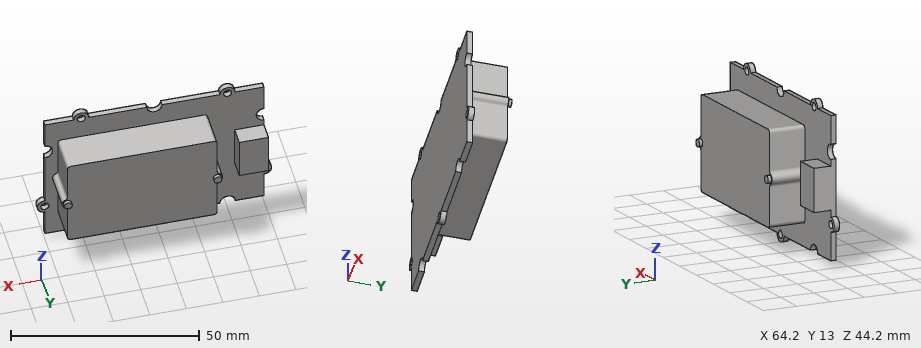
import cadquery as cq

overall_length = 64.2
overall_height = 44.2
ear_diameter = 4.2
board_length = overall_length - ear_diameter
board_height = overall_height - ear_diameter
board_thickness = 1.6
ear_hole_diameter = 2.2
hole_pitch = 20.0

overall_depth = 13.0
block_depth = 10.45
block_height = 27.0
block_left = -14.6
block_right = 26.45
block_corner_radius = 1.0
boss_diameter = 2.95
boss_fillet_radius = 1.0
pin_diameter = 2.2

connector_length = 8.0
connector_height = 12.2
connector_depth = 5.0

right_edge = board_length / 2
top_edge = board_height / 2
side_offset = hole_pitch / 2
ear_centers = [
    (-hole_pitch, top_edge),
    (hole_pitch, top_edge),
    (-right_edge, -side_offset),
    (right_edge, -side_offset),
    (0, -top_edge),
]
notch_centers = [(x, -z) for x, z in ear_centers]


def plane_at(y):
    """XZ workplane at depth y, with positive extrusion toward +Y and local axes (X, -Z)."""
    return cq.Workplane(cq.Plane(origin=(0, y, 0), xDir=(1, 0, 0), normal=(0, 1, 0)))


def discs(centers, diameter, y, depth):
    """Cylinders along Y at the given (X, Z) centers."""
    local_centers = [(x, -z) for x, z in centers]
    return plane_at(y).pushPoints(local_centers).circle(diameter / 2).extrude(depth)


def make_board():
    board = plane_at(0).rect(board_length, board_height).extrude(board_thickness)
    board = board.union(discs(ear_centers, ear_diameter, 0, board_thickness))
    board = board.cut(discs(notch_centers, ear_diameter, 0, board_thickness))
    return board.cut(discs(ear_centers, ear_hole_diameter, 0, board_thickness))


def make_block():
    """Rounded block with a half-round boss, blended into the face, at each end."""
    length = block_right - block_left
    block = (
        plane_at(board_thickness)
        .center((block_left + block_right) / 2, 0)
        .rect(length, block_height)
        .extrude(block_depth)
        .edges("|Y")
        .fillet(block_corner_radius)
    )
    boss_centers = [(block_left, 0), (block_right, 0)]
    block = block.union(discs(boss_centers, boss_diameter, board_thickness, block_depth))

    reach = boss_diameter / 2
    for x in (block_left, block_right):
        corners = cq.selectors.BoxSelector(
            (x - boss_fillet_radius / 2, 0, -reach - boss_fillet_radius),
            (x + boss_fillet_radius / 2, overall_depth, reach + boss_fillet_radius),
        )
        block = block.edges("|Y").edges(corners).fillet(boss_fillet_radius)

    pin_base = board_thickness + block_depth
    return block.union(discs(boss_centers, pin_diameter, pin_base, overall_depth - pin_base))


def make_connector():
    return (
        plane_at(board_thickness)
        .center(-right_edge + connector_length / 2, 0)
        .rect(connector_length, connector_height)
        .extrude(connector_depth)
    )


result = make_board().union(make_block()).union(make_connector())